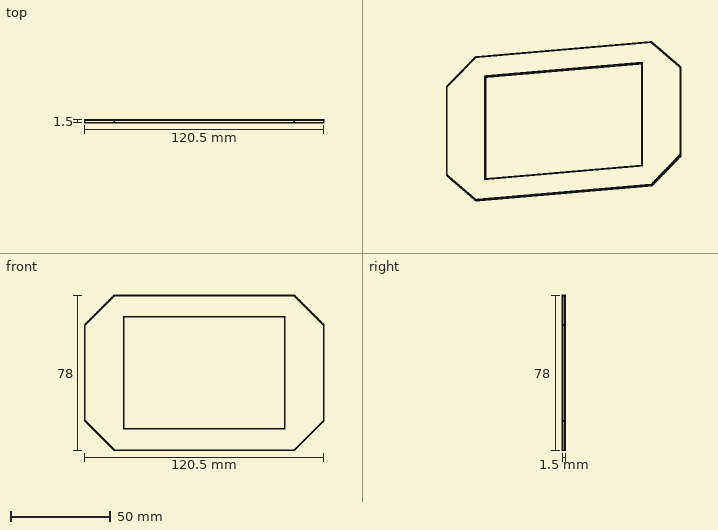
import cadquery as cq

length = 120.5
thickness = 1.5
height = 78.0

corner_cut = 15.0

window_length = 81.0
window_height = 56.3

plate = cq.Workplane("XY").box(length, thickness, height).edges("|Y").chamfer(corner_cut)

window = cq.Workplane("XY").box(window_length, thickness, window_height)

result = plate.cut(window)